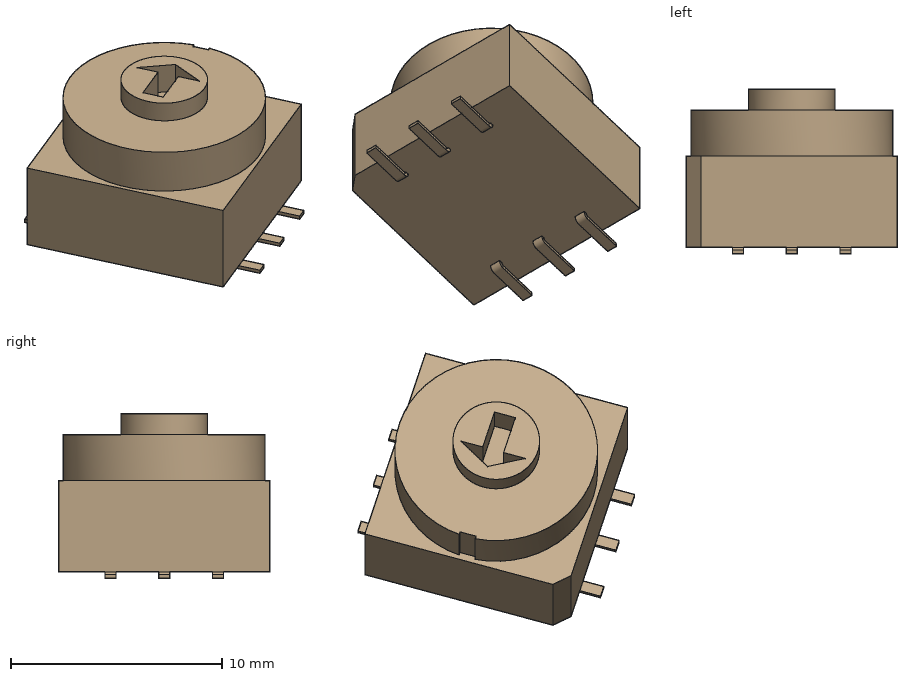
import cadquery as cq

standoff = 0.3
body_height = 4.32
rotor_height = 2.18
total_height = 7.8
body_top = standoff + body_height
rotor_top = body_top + rotor_height
stub_height = total_height - rotor_top

body_side = 10.0
corner_chamfer = 0.7

rotor_diameter = 9.6
notch_width = 0.79
notch_inner_y = 4.65
stub_diameter = 4.1

arrow_tip_y = 1.43
arrow_barb_y = 0.5
arrow_tail_y = -1.43
arrow_half_width = 1.6
shaft_half_width = 0.52
arrow_depth = 1.5

lead_span = 12.0
lead_length = 2.5
lead_thickness = 0.18
lead_width = 0.54
lead_pitch = 2.55
leads_per_row = 3
bend_inner_radius = 0.1
bend_outer_radius = bend_inner_radius + lead_thickness


def make_housing():
    """Square block with the -X, +Y vertical corner cut off."""
    block = cq.Workplane("XY").box(body_side, body_side, body_height, centered=(True, True, False))
    block = block.edges("|Z and <X and >Y").chamfer(corner_chamfer)
    return block.translate((0, 0, standoff))


def make_rotor():
    """Disc with a full-height notch in its +Y rim, carrying the central stub."""
    disc = cq.Workplane("XY").workplane(offset=body_top).circle(rotor_diameter / 2).extrude(rotor_height)
    notch = (
        cq.Workplane("XY")
        .box(notch_width, rotor_diameter / 2, rotor_height, centered=(True, False, False))
        .translate((0, notch_inner_y, body_top))
    )
    stub = cq.Workplane("XY").workplane(offset=rotor_top).circle(stub_diameter / 2).extrude(stub_height)
    return disc.cut(notch).union(stub)


def make_arrow_recess():
    """Arrow pointing toward +Y, sunk from the top of the stub."""
    outline = [
        (0, arrow_tip_y),
        (arrow_half_width, arrow_barb_y),
        (shaft_half_width, arrow_barb_y),
        (shaft_half_width, arrow_tail_y),
        (-shaft_half_width, arrow_tail_y),
        (-shaft_half_width, arrow_barb_y),
        (-arrow_half_width, arrow_barb_y),
    ]
    return cq.Workplane("XY").workplane(offset=total_height).polyline(outline).close().extrude(-arrow_depth)


def make_lead(y_center):
    """L-shaped strip on the -X side: a flat foot bent up into the housing underside."""
    foot_end = -lead_span / 2
    riser_inner = foot_end + lead_length
    riser_outer = riser_inner - lead_thickness
    profile = [
        (foot_end, 0),
        (riser_inner, 0),
        (riser_inner, standoff),
        (riser_outer, standoff),
        (riser_outer, lead_thickness),
        (foot_end, lead_thickness),
    ]
    strip = cq.Workplane("XZ").polyline(profile).close().extrude(lead_width / 2, both=True)
    strip = strip.edges("|Y and >X and <Z").fillet(bend_outer_radius)
    inner_corner = cq.NearestToPointSelector((riser_outer, 0, lead_thickness))
    strip = strip.edges("|Y").edges(inner_corner).fillet(bend_inner_radius)
    return strip.translate((0, y_center, 0))


result = make_housing().union(make_rotor()).cut(make_arrow_recess())
for index in range(leads_per_row):
    lead = make_lead((index - (leads_per_row - 1) / 2) * lead_pitch)
    result = result.union(lead).union(lead.mirror("YZ"))